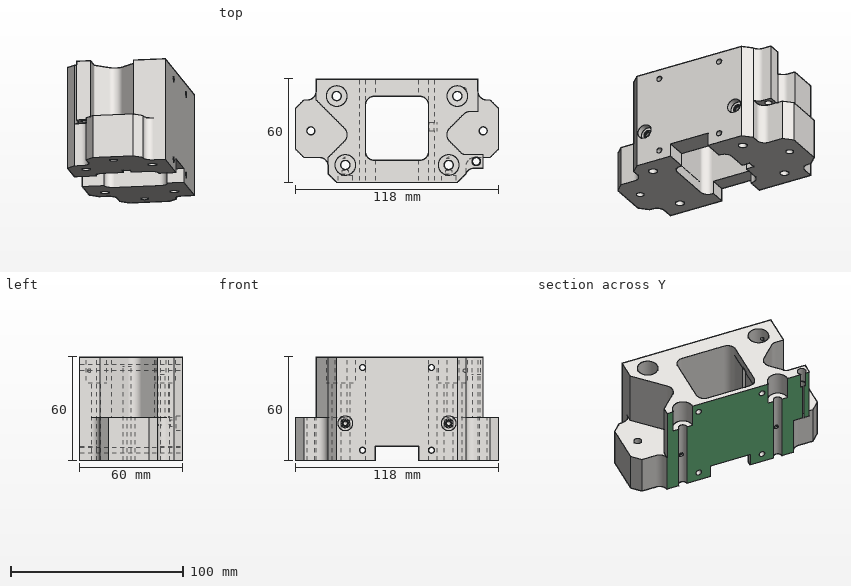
import cadquery as cq
import math

height = 60.0
half_depth = 30.0
back_half_width = 47.0
front_half_width = 40.0
front_chamfer = 5.0
corner_radius = 5.0

ear_half_width = 59.0
ear_height = 25.0
ear_back_y = 18.0
ear_front_y = -15.5
ear_chamfer = 5.0
ear_hole_x = 50.0
ear_hole_diameter = 4.5

notch_tip_x = 29.0
notch_back_y = 11.2
notch_mouth_radius = 2.0

tab_end_x = 50.0
tab_back_y = -13.6
tab_front_y = -21.8
tab_arc_start_x = 44.6
tab_hole_x = 46.0
tab_hole_diameter = 4.3
tab_bore_diameter = 5.1
tab_bore_depth = 10.0

window_width = 36.5
window_back_y = 20.0
window_front_y = -17.0

wall_slot_front_y = 0.0
wall_slot_back_y = 4.75
wall_slot_top_z = 54.5
wall_slot_depth = 5.0

channel_width = 25.0
channel_height = 8.2

back_screw_x = 35.0
front_screw_x = 30.0
screw_center_y = 0.2
screw_half_pitch_y = 20.0
screw_diameter = 5.2
screw_head_diameter = 12.0
screw_head_depth = 15.0

cross_hole_x = 20.0
cross_hole_heights = (6.0, 54.0)
cross_hole_diameter = 3.3

port_x = 30.0
port_z = 21.6
port_steps = ((8.6, 4.0), (5.2, 5.0), (3.6, 7.0), (2.6, 14.0))
drill_point_angle = 118.0

side_hole_y = 24.2
side_hole_z = 52.2
side_hole_diameter = 2.0
side_hole_end_x = 40.0


def cylinder_down(x, y, top_z, diameter, depth):
    """Vertical cutting cylinder that hangs below top_z."""
    return cq.Workplane("XY", origin=(x, y, top_z)).circle(diameter / 2).extrude(-depth)


def cylinder_back(x, y, z, diameter, depth):
    """Cutting cylinder that runs from y toward +Y."""
    return cq.Workplane("XZ", origin=(x, y, z)).circle(diameter / 2).extrude(-depth)


def make_body():
    """Block with chamfered front corners, narrower at the front, full height."""
    chamfer_x = front_half_width - front_chamfer
    chamfer_y = -half_depth + front_chamfer
    return (
        cq.Workplane("XY")
        .moveTo(-back_half_width, half_depth)
        .lineTo(back_half_width, half_depth)
        .lineTo(back_half_width, ear_front_y)
        .lineTo(front_half_width, ear_front_y)
        .lineTo(front_half_width, chamfer_y)
        .lineTo(chamfer_x, -half_depth)
        .lineTo(-chamfer_x, -half_depth)
        .lineTo(-front_half_width, chamfer_y)
        .lineTo(-front_half_width, ear_front_y)
        .lineTo(-back_half_width, ear_front_y)
        .close()
        .extrude(height)
    )


def make_ear():
    """Low ear on the +X side, blended into the block by concave arcs."""
    chamfer_x = ear_half_width - ear_chamfer
    return (
        cq.Workplane("XY")
        .moveTo(0, ear_back_y + corner_radius)
        .lineTo(back_half_width, ear_back_y + corner_radius)
        .radiusArc((back_half_width + corner_radius, ear_back_y), -corner_radius)
        .lineTo(chamfer_x, ear_back_y)
        .lineTo(ear_half_width, ear_back_y - ear_chamfer)
        .lineTo(ear_half_width, ear_front_y + ear_chamfer)
        .lineTo(chamfer_x, ear_front_y)
        .lineTo(front_half_width + corner_radius, ear_front_y)
        .radiusArc((front_half_width, ear_front_y - corner_radius), -corner_radius)
        .lineTo(0, ear_front_y - corner_radius)
        .close()
        .extrude(ear_height)
    )


def make_tab():
    """Tab above ear level, blended into the front chamfer by a concave arc."""
    arc_offset_x = tab_arc_start_x - front_half_width
    arc_end_y = tab_front_y - corner_radius + math.sqrt(corner_radius**2 - arc_offset_x**2)
    return (
        cq.Workplane("XY", origin=(0, 0, ear_height))
        .moveTo(front_screw_x, tab_back_y)
        .lineTo(tab_end_x, tab_back_y)
        .lineTo(tab_end_x, tab_front_y)
        .lineTo(tab_arc_start_x, tab_front_y)
        .radiusArc((front_half_width, arc_end_y), -corner_radius)
        .lineTo(front_screw_x, arc_end_y)
        .close()
        .extrude(height - ear_height)
    )


def notch_prism(points, rounded_corners):
    """Prism from ear level to the top, with the given (x, y, radius) corners rounded."""
    outline = cq.Workplane("XY", origin=(0, 0, ear_height)).polyline(points).close()
    prism = outline.extrude(height - ear_height)
    middle_z = (ear_height + height) / 2
    for x, y, radius in rounded_corners:
        corner = cq.selectors.NearestToPointSelector((x, y, middle_z))
        prism = prism.edges("|Z").edges(corner).fillet(radius)
    return prism


tip_back_y = ear_back_y - (back_half_width - notch_tip_x)
tip_front_y = ear_front_y + (front_half_width - notch_tip_x)


def make_left_notch():
    """Notch above the -X ear, open along its back flank."""
    points = [
        (-ear_half_width, ear_back_y + ear_half_width - back_half_width),
        (-notch_tip_x, tip_back_y),
        (-notch_tip_x, tip_front_y),
        (-front_half_width, ear_front_y),
        (-ear_half_width, ear_front_y),
    ]
    rounded = [
        (-notch_tip_x, tip_back_y, corner_radius),
        (-notch_tip_x, tip_front_y, corner_radius),
    ]
    return notch_prism(points, rounded)


def make_right_notch():
    """Notch above the +X ear, bounded by a flat back wall and the tab."""
    back_x = notch_tip_x + notch_back_y - tip_back_y
    front_x = notch_tip_x + tip_front_y - tab_back_y
    points = [
        (ear_half_width, notch_back_y),
        (back_x, notch_back_y),
        (notch_tip_x, tip_back_y),
        (notch_tip_x, tip_front_y),
        (front_x, tab_back_y),
        (ear_half_width, tab_back_y),
    ]
    rounded = [
        (back_x, notch_back_y, corner_radius),
        (notch_tip_x, tip_back_y, corner_radius),
        (notch_tip_x, tip_front_y, corner_radius),
        (front_x, tab_back_y, notch_mouth_radius),
    ]
    return notch_prism(points, rounded)


def make_window():
    """Rounded rectangular opening through the full height."""
    center_y = (window_back_y + window_front_y) / 2
    return (
        cq.Workplane("XY", origin=(0, center_y, 0))
        .rect(window_width, window_back_y - window_front_y)
        .extrude(height)
        .edges("|Z")
        .fillet(corner_radius)
    )


def make_wall_slot():
    """Upright slot in the window's +X wall, open at the underside."""
    width = wall_slot_back_y - wall_slot_front_y
    length = window_width / 2 + wall_slot_depth
    return (
        cq.Workplane("XY", origin=(0, wall_slot_front_y, 0))
        .rect(length, width, centered=False)
        .extrude(wall_slot_top_z)
    )


def make_channel():
    """Front-to-back channel in the underside."""
    return cq.Workplane("XY").rect(channel_width, 2 * half_depth).extrude(channel_height)


def make_screw_hole(x, y):
    """Through hole counterbored from the top."""
    head = cylinder_down(x, y, height, screw_head_diameter, screw_head_depth)
    return cylinder_down(x, y, height, screw_diameter, height).union(head)


def make_tab_hole():
    """Through hole in the tab with a slightly wider upper bore."""
    y = (tab_back_y + tab_front_y) / 2
    bore = cylinder_down(tab_hole_x, y, height, tab_bore_diameter, tab_bore_depth)
    return cylinder_down(tab_hole_x, y, height, tab_hole_diameter, height).union(bore)


def make_port(x):
    """Stepped bore in the front face that ends in a conical drill point."""
    steps = [cylinder_back(x, -half_depth, port_z, diameter, depth) for diameter, depth in port_steps]
    last_diameter, last_depth = port_steps[-1]
    radius = last_diameter / 2
    point_length = radius / math.tan(math.radians(drill_point_angle / 2))
    base = cq.Vector(x, -half_depth + last_depth, port_z)
    point = cq.Solid.makeCone(radius, 0, point_length, base, cq.Vector(0, 1, 0))
    port = cq.Workplane(point)
    for step in steps:
        port = port.union(step)
    return port


def make_side_hole():
    """Blind hole along +X that starts inside the screw counterbore."""
    return (
        cq.Workplane("YZ", origin=(back_screw_x, side_hole_y, side_hole_z))
        .circle(side_hole_diameter / 2)
        .extrude(side_hole_end_x - back_screw_x)
    )


right_ear = make_ear()
result = make_body().union(right_ear).union(right_ear.mirror("YZ"))
result = result.cut(make_left_notch()).cut(make_right_notch())
result = result.union(make_tab())
result = result.cut(make_window()).cut(make_wall_slot()).cut(make_channel())
result = result.cut(make_tab_hole()).cut(make_side_hole())

for side in (-1, 1):
    result = result.cut(make_screw_hole(side * back_screw_x, screw_center_y + screw_half_pitch_y))
    result = result.cut(make_screw_hole(side * front_screw_x, screw_center_y - screw_half_pitch_y))
    result = result.cut(cylinder_down(side * ear_hole_x, 0, ear_height, ear_hole_diameter, ear_height))
    result = result.cut(make_port(side * port_x))
    for hole_z in cross_hole_heights:
        x = side * cross_hole_x
        result = result.cut(cylinder_back(x, -half_depth, hole_z, cross_hole_diameter, 2 * half_depth))